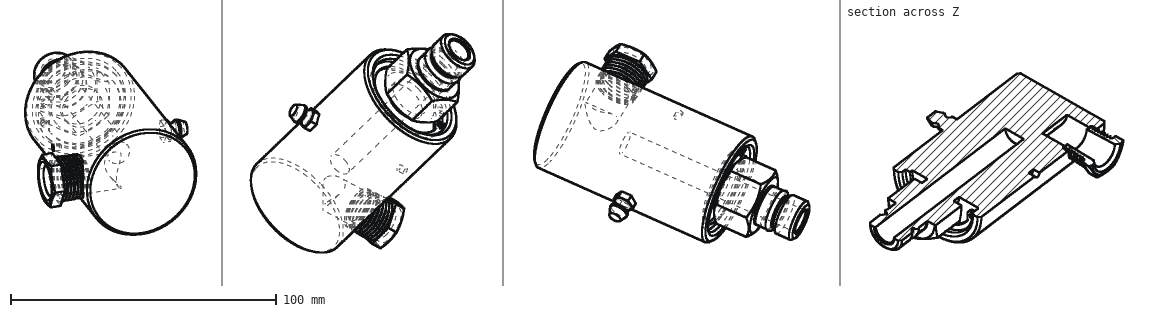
import cadquery as cq
import math

OVERALL_LENGTH = 102.79
OVERLAP = 0.5

HOUSING_FRONT = 29.75
HOUSING_DIAMETER = 43.7
HOUSING_CHAMFER = 1.0

SPIGOT_DIAMETER = 15.97
SPIGOT_CHAMFER = 1.05
SPIGOT_BORE_DIAMETER = 9.0
SPIGOT_BORE_DEPTH = 75.0
SPIGOT_BORE_CHAMFER = 0.5
TIP_FACE_DIAMETER = SPIGOT_DIAMETER - 2 * SPIGOT_CHAMFER
SEAL_GROOVE_DIAMETER = 12.95
SEAL_GROOVE_CONE_START = 7.0
SEAL_RING_CENTRE = 10.35
SEAL_RING_WIRE_RADIUS = 1.0
SEAL_RING_DIAMETER = 16.5
COLLAR_DIAMETER = 16.02
COLLAR_START = 15.2
HEX_FRONT = 15.8
HEX_BACK = 31.1
HEX_WIDTH = 23.81
HEX_CHAMFER_DIAMETER = 22.9
HEX_CHAMFER_ANGLE = 30.0
SHAFT_DIAMETER = 16.02

RECESS_MOUTH_DIAMETER = 37.25
RECESS_DIAMETER = 35.08
RECESS_CONE_DEPTH = 1.1
RECESS_DEPTH = 2.9
RING_THICKNESS = 1.3
RING_INNER_DIAMETER = 30.6
RING_GAP = 4.8
LUG_RADIUS = 2.2
LUG_WEB = 3.4
LUG_HOLE_DIAMETER = 1.98
LUG_HOLE_Y = -15.4
LUG_HOLE_Z = 4.5

NIPPLE_X = 63.0
WEEP_HOLE_DIAMETER = 2.5
WEEP_HOLE_DEPTH = 3.0
NIPPLE_TIP = 30.97
NIPPLE_HEX_WIDTH = 7.25
NIPPLE_HEX_TOP = 24.2
NIPPLE_TIP_RADIUS = 2.4
NIPPLE_HEAD_RADIUS = 3.6
NIPPLE_HEAD_TOP = 28.2
NIPPLE_HEAD_BOTTOM = 27.3
NIPPLE_NECK_TOP = 26.5
NIPPLE_NECK_TOP_RADIUS = 3.0
NIPPLE_NECK_RADIUS = 5.36 / 2
NIPPLE_NECK_MIDDLE = 25.8
NIPPLE_NECK_BOTTOM = 24.75
NIPPLE_NECK_BOTTOM_RADIUS = 3.0
NIPPLE_BASE_RADIUS = 3.5

PORT_X = 89.15
BUSHING_FACE = 65.02 - NIPPLE_TIP
BUSHING_HEX_BOTTOM = 29.6
BUSHING_INNER_END = 19.0
BUSHING_HEX_WIDTH = 17.5
BUSHING_HEX_TILT = -1.5
BUSHING_FACE_DIAMETER = 17.1
BUSHING_CHAMFER_ANGLE = 20.0
BUSHING_MOUTH_DIAMETER = 14.8
MALE_CREST_DIAMETER = 17.1
FEMALE_CREST_DIAMETER = 11.07
PORT_DRILL_DIAMETER = 13.89

THREAD_PITCH = 25.4 / 18
THREAD_DEPTH = 0.75 * THREAD_PITCH
THREAD_TAPER = 1 / 32
TAPER_ANGLE = math.degrees(math.atan(THREAD_TAPER))
THREAD_ROOT_FLAT = 0.1
THREAD_LEAD_IN = 0.9
MALE_TURNS = 10.25
FEMALE_TURNS = 11
GROOVE_HALF_ANGLE = math.radians(30)
GROOVE_CLEARANCE = 0.05


def hexagon(plane, width, length):
    """Hexagonal bar on a plane, with two corners on the plane's local X axis."""
    return cq.Workplane(plane).polygon(6, width / math.cos(math.pi / 6)).extrude(length)


def disc_x(x, diameter, length):
    """Cylinder on the X axis from x, running toward +X."""
    return cq.Workplane("YZ", origin=(x, 0, 0)).circle(diameter / 2).extrude(length)


def cone(start_radius, end_radius, length):
    """Truncated cone on the local Z axis from Z = 0."""
    outline = [(0, 0), (start_radius, 0), (end_radius, length), (0, length)]
    return cq.Workplane("XZ").polyline(outline).close().revolve(360, (0, 0), (0, 1))


def chamfered_disc(face_radius, widest_radius, angle, length):
    """Round envelope from Z = 0 that widens from face_radius at an angle to that face."""
    height = (widest_radius - face_radius) * math.tan(math.radians(angle))
    outline = [(0, 0), (face_radius, 0), (widest_radius, height), (widest_radius, length), (0, length)]
    return cq.Workplane("XZ").polyline(outline).close().revolve(360, (0, 0), (0, 1))


def make_spigot():
    tip_radius = TIP_FACE_DIAMETER / 2
    radius = SPIGOT_DIAMETER / 2
    groove_radius = SEAL_GROOVE_DIAMETER / 2
    collar_radius = COLLAR_DIAMETER / 2
    groove_start = SEAL_GROOVE_CONE_START + radius - groove_radius
    spigot = (
        cq.Workplane("XY")
        .moveTo(0, 0)
        .lineTo(0, tip_radius)
        .lineTo(SPIGOT_CHAMFER, radius)
        .lineTo(SEAL_GROOVE_CONE_START, radius)
        .lineTo(groove_start, groove_radius)
        .lineTo(SEAL_RING_CENTRE, groove_radius)
        .lineTo(SEAL_RING_CENTRE, radius)
        .lineTo(COLLAR_START, radius)
        .lineTo(COLLAR_START, collar_radius)
        .lineTo(HEX_FRONT + OVERLAP, collar_radius)
        .lineTo(HEX_FRONT + OVERLAP, 0)
        .close()
        .revolve(360, (0, 0), (1, 0))
    )
    wire_radius = SEAL_RING_WIRE_RADIUS
    wire_centre_radius = SEAL_RING_DIAMETER / 2 - wire_radius
    seal_ring = (
        cq.Workplane("XY")
        .moveTo(SEAL_RING_CENTRE - wire_radius, groove_radius)
        .lineTo(SEAL_RING_CENTRE - wire_radius, wire_centre_radius)
        .threePointArc(
            (SEAL_RING_CENTRE, SEAL_RING_DIAMETER / 2),
            (SEAL_RING_CENTRE + wire_radius, wire_centre_radius),
        )
        .lineTo(SEAL_RING_CENTRE + wire_radius, groove_radius)
        .close()
        .revolve(360, (0, 0), (1, 0))
    )
    return spigot.union(seal_ring)


def make_spigot_bore():
    """Blind bore along the rotor, chamfered at its mouth."""
    bore_radius = SPIGOT_BORE_DIAMETER / 2
    mouth = cone(bore_radius + SPIGOT_BORE_CHAMFER, bore_radius, SPIGOT_BORE_CHAMFER)
    mouth = mouth.rotate((0, 0, 0), (0, 1, 0), 90)
    return disc_x(0, SPIGOT_BORE_DIAMETER, SPIGOT_BORE_DEPTH).union(mouth)


def make_rotor_hexagon():
    """Hexagon with corners up and down, chamfered at both ends."""
    length = HEX_BACK - HEX_FRONT
    bar = hexagon("XY", HEX_WIDTH, length)
    widest = HEX_WIDTH / math.cos(math.pi / 6) / 2 + OVERLAP
    envelope = chamfered_disc(HEX_CHAMFER_DIAMETER / 2, widest, HEX_CHAMFER_ANGLE, length)
    back_envelope = envelope.rotate((0, 0, 0), (1, 0, 0), 180).translate((0, 0, length))
    bar = bar.intersect(envelope).intersect(back_envelope)
    return bar.rotate((0, 0, 0), (0, 1, 0), 90).translate((HEX_FRONT, 0, 0))


def make_neck():
    """Shaft from inside the hexagon to below the floor of the recess."""
    start = HEX_BACK - OVERLAP
    end = HOUSING_FRONT + RECESS_DEPTH + RING_THICKNESS + OVERLAP
    return disc_x(start, SHAFT_DIAMETER, end - start)


def make_ring_pocket():
    """Space inside the retaining ring: its bore and gap, less the two lugs with their holes."""
    ring_front = HOUSING_FRONT + RECESS_DEPTH
    face = cq.Workplane("YZ", origin=(ring_front, 0, 0))
    pocket = disc_x(ring_front, RING_INNER_DIAMETER, RING_THICKNESS)
    recess = disc_x(ring_front, RECESS_DIAMETER, RING_THICKNESS)
    gap_reach = RECESS_DIAMETER / 2
    gap = (
        face.center(-gap_reach / 2, 0)
        .rect(gap_reach, RING_GAP)
        .extrude(RING_THICKNESS)
        .intersect(recess)
    )
    lug_centres = [(LUG_HOLE_Y, side * LUG_HOLE_Z) for side in (1, -1)]
    lugs = face.pushPoints(lug_centres).circle(LUG_RADIUS).extrude(RING_THICKNESS)
    for lug_y, lug_z in lug_centres:
        web_z = lug_z + math.copysign(LUG_WEB / 2, lug_z)
        web = face.center(lug_y + LUG_RADIUS / 2, web_z).rect(LUG_RADIUS, LUG_WEB)
        lugs = lugs.union(web.extrude(RING_THICKNESS))
    holes = face.pushPoints(lug_centres).circle(LUG_HOLE_DIAMETER / 2).extrude(RING_THICKNESS)
    return pocket.cut(lugs).union(gap).union(holes)


def make_housing():
    housing = disc_x(HOUSING_FRONT, HOUSING_DIAMETER, OVERALL_LENGTH - HOUSING_FRONT)
    housing = housing.faces("<X or >X").chamfer(HOUSING_CHAMFER)
    recess = cone(RECESS_MOUTH_DIAMETER / 2, RECESS_DIAMETER / 2, RECESS_CONE_DEPTH)
    recess = recess.rotate((0, 0, 0), (0, 1, 0), 90).translate((HOUSING_FRONT, 0, 0))
    recess = recess.union(disc_x(HOUSING_FRONT, RECESS_DIAMETER, RECESS_DEPTH))
    weep_hole = (
        cq.Workplane("XZ", origin=(NIPPLE_X, 0, 0))
        .workplane(offset=HOUSING_DIAMETER / 2 - WEEP_HOLE_DEPTH)
        .circle(WEEP_HOLE_DIAMETER / 2)
        .extrude(WEEP_HOLE_DEPTH + OVERLAP)
    )
    return housing.cut(recess).cut(make_ring_pocket()).cut(weep_hole)


def make_grease_nipple():
    root = HOUSING_DIAMETER / 2 - 2 * OVERLAP
    nut = hexagon("XY", NIPPLE_HEX_WIDTH, NIPPLE_HEX_TOP - root).translate((0, 0, root))
    head = (
        cq.Workplane("XZ")
        .moveTo(0, root)
        .lineTo(NIPPLE_BASE_RADIUS, root)
        .lineTo(NIPPLE_BASE_RADIUS, NIPPLE_HEX_TOP)
        .lineTo(NIPPLE_NECK_BOTTOM_RADIUS, NIPPLE_NECK_BOTTOM)
        .threePointArc(
            (NIPPLE_NECK_RADIUS, NIPPLE_NECK_MIDDLE),
            (NIPPLE_NECK_TOP_RADIUS, NIPPLE_NECK_TOP),
        )
        .lineTo(NIPPLE_HEAD_RADIUS, NIPPLE_HEAD_BOTTOM)
        .lineTo(NIPPLE_HEAD_RADIUS, NIPPLE_HEAD_TOP)
        .lineTo(NIPPLE_TIP_RADIUS, NIPPLE_TIP)
        .lineTo(0, NIPPLE_TIP)
        .close()
        .revolve(360, (0, 0), (0, 1))
    )
    nipple = nut.union(head)
    return nipple.rotate((0, 0, 0), (1, 0, 0), -90).translate((NIPPLE_X, 0, 0))


SHANK_LENGTH = BUSHING_HEX_BOTTOM - BUSHING_INNER_END
BUSHING_LENGTH = BUSHING_FACE - BUSHING_INNER_END
MALE_END_RADIUS = MALE_CREST_DIAMETER / 2 - SHANK_LENGTH * THREAD_TAPER
FEMALE_END_RADIUS = FEMALE_CREST_DIAMETER / 2


def place_on_port(piece):
    return piece.rotate((0, 0, 0), (1, 0, 0), 90).translate((PORT_X, 0, 0))


def shank_envelope():
    shank = cone(MALE_END_RADIUS, MALE_CREST_DIAMETER / 2, SHANK_LENGTH)
    return shank.translate((0, 0, BUSHING_INNER_END))


def thread_groove(crest_radius, turns, outward):
    """Helical V groove along a cone from just below its end, where its crest radius is given.

    The groove deepens away from the axis when outward is 1 and toward the axis when it is -1.
    """
    start = -THREAD_LEAD_IN * THREAD_PITCH
    start_radius = crest_radius + start * THREAD_TAPER
    helix = cq.Wire.makeHelix(THREAD_PITCH, turns * THREAD_PITCH, start_radius, angle=TAPER_ANGLE)
    mouth = start_radius - outward * GROOVE_CLEARANCE
    root = start_radius + outward * THREAD_DEPTH
    half_root = THREAD_ROOT_FLAT / 2
    half_mouth = half_root + (THREAD_DEPTH + GROOVE_CLEARANCE) * math.tan(GROOVE_HALF_ANGLE)
    profile = (
        cq.Workplane("XZ")
        .polyline([(mouth, -half_mouth), (mouth, half_mouth), (root, half_root), (root, -half_root)])
        .close()
    )
    groove = profile.sweep(cq.Workplane(obj=helix), isFrenet=True)
    return groove.translate((0, 0, BUSHING_INNER_END + start))


def make_bushing():
    shank = shank_envelope().cut(thread_groove(MALE_END_RADIUS, MALE_TURNS, -1))

    head_length = BUSHING_FACE - BUSHING_HEX_BOTTOM
    head = hexagon("XY", BUSHING_HEX_WIDTH, head_length)
    widest = BUSHING_HEX_WIDTH / math.cos(math.pi / 6) / 2 + OVERLAP
    envelope = chamfered_disc(BUSHING_FACE_DIAMETER / 2, widest, BUSHING_CHAMFER_ANGLE, head_length)
    envelope = envelope.rotate((0, 0, 0), (1, 0, 0), 180).translate((0, 0, head_length))
    head = head.intersect(envelope).rotate((0, 0, 0), (0, 0, 1), BUSHING_HEX_TILT)
    head = head.translate((0, 0, BUSHING_HEX_BOTTOM))

    mouth_crest_radius = FEMALE_END_RADIUS + BUSHING_LENGTH * THREAD_TAPER
    bore = cone(FEMALE_END_RADIUS, mouth_crest_radius, BUSHING_LENGTH)
    bore = bore.translate((0, 0, BUSHING_INNER_END))
    mouth_radius = BUSHING_MOUTH_DIAMETER / 2
    mouth_depth = mouth_radius - mouth_crest_radius
    mouth = cone(mouth_crest_radius, mouth_radius, mouth_depth)
    mouth = mouth.translate((0, 0, BUSHING_FACE - mouth_depth))
    bushing = shank.union(head).cut(bore).cut(mouth)
    bushing = bushing.cut(thread_groove(FEMALE_END_RADIUS, FEMALE_TURNS, 1))
    return place_on_port(bushing)


def make_port():
    """Side port: a taper that fits the bushing, then a drilled hole that stops at the shaft."""
    drill = cq.Workplane("XY").circle(PORT_DRILL_DIAMETER / 2).extrude(BUSHING_INNER_END)
    shaft = disc_x(PORT_X - PORT_DRILL_DIAMETER, SHAFT_DIAMETER, 2 * PORT_DRILL_DIAMETER)
    return place_on_port(shank_envelope()).union(place_on_port(drill).cut(shaft))


def make_union():
    rotor = make_spigot().union(make_rotor_hexagon()).union(make_neck())
    body = make_housing().union(rotor).union(make_grease_nipple())
    return body.cut(make_port()).cut(make_spigot_bore())


rotary_union = make_union()
bushing = make_bushing()
result = cq.Compound.makeCompound([rotary_union.val(), bushing.val()])